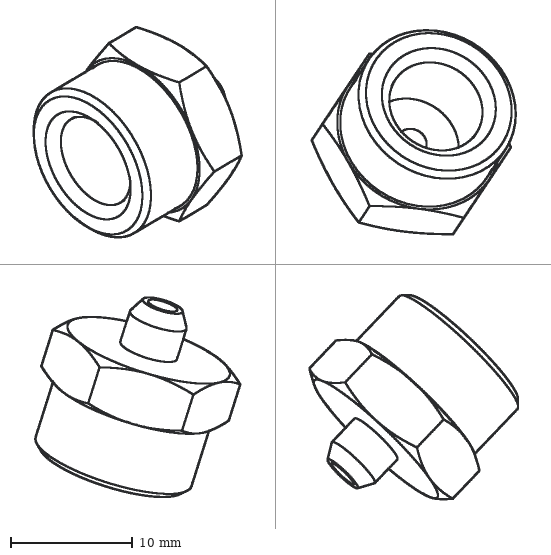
import cadquery as cq
import math

hex_across_corners = 16.17
hex_across_flats = hex_across_corners * math.cos(math.radians(30))
hex_length = 4.5
hex_chamfer_angle = 30.0

barrel_diameter = 13.5
barrel_length = 6.0
barrel_chamfer = 0.5

pin_diameter = 4.9
pin_length = 4.01
pin_tip_diameter = 3.45
pin_taper_length = 1.28

through_hole_diameter = 2.5
bore_diameter = 8.0
bore_depth = 8.0
countersink_diameter = 9.78
countersink_depth = (countersink_diameter - bore_diameter) / 2

hex_back = barrel_length + hex_length
total_length = hex_back + pin_length


def revolve_profile(points):
    """Revolve a closed (radius, Y) outline about the Y axis."""
    return cq.Workplane("XY").polyline(points).close().revolve(360, (0, 0, 0), (0, 1, 0))


def make_hex():
    """Hexagon with corners on the X axis, its corners chamfered at both ends."""
    prism = (
        cq.Workplane("XZ", origin=(0, hex_back, 0))
        .polygon(6, hex_across_corners)
        .extrude(hex_length)
    )
    face_radius = hex_across_flats / 2
    corner_radius = hex_across_corners / 2
    corner_drop = (corner_radius - face_radius) * math.tan(math.radians(hex_chamfer_angle))
    chamfer_envelope = revolve_profile([
        (0, barrel_length),
        (face_radius, barrel_length),
        (corner_radius, barrel_length + corner_drop),
        (corner_radius, hex_back - corner_drop),
        (face_radius, hex_back),
        (0, hex_back),
    ])
    return prism.intersect(chamfer_envelope)


def make_barrel():
    """Barrel with a chamfered open end."""
    radius = barrel_diameter / 2
    return revolve_profile([
        (0, 0),
        (radius - barrel_chamfer, 0),
        (radius, barrel_chamfer),
        (radius, barrel_length),
        (0, barrel_length),
    ])


def make_pin():
    """Pin with a tapered tip."""
    radius = pin_diameter / 2
    return revolve_profile([
        (0, hex_back),
        (radius, hex_back),
        (radius, total_length - pin_taper_length),
        (pin_tip_diameter / 2, total_length),
        (0, total_length),
    ])


def make_passage():
    """Countersunk blind bore continuing as a small hole through the pin."""
    bore_radius = bore_diameter / 2
    hole_radius = through_hole_diameter / 2
    return revolve_profile([
        (0, 0),
        (countersink_diameter / 2, 0),
        (bore_radius, countersink_depth),
        (bore_radius, bore_depth),
        (hole_radius, bore_depth),
        (hole_radius, total_length),
        (0, total_length),
    ])


result = make_hex().union(make_barrel()).union(make_pin()).cut(make_passage())